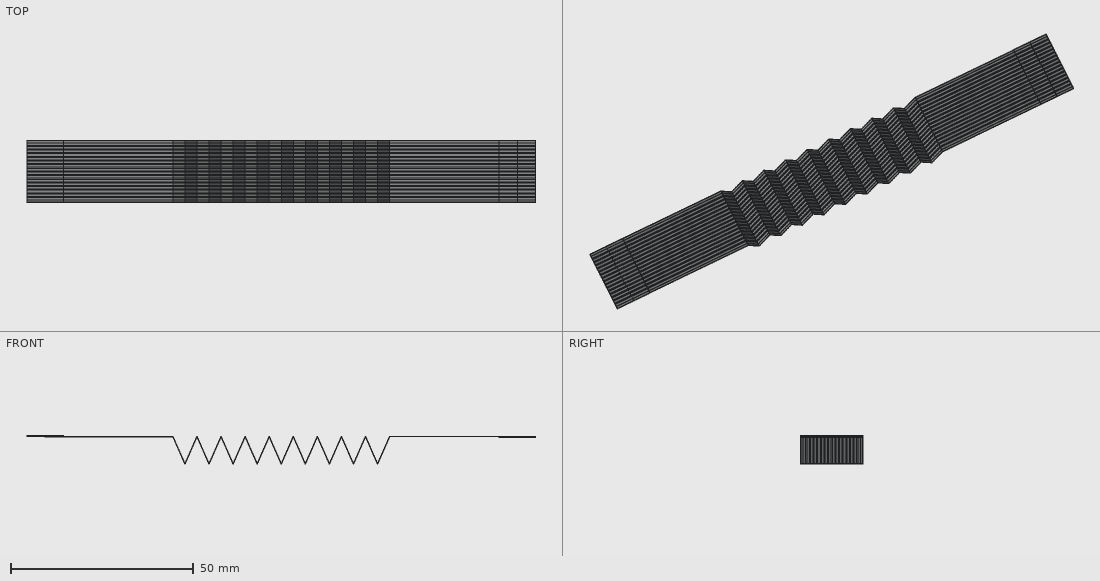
import cadquery as cq
import math


cable_length = 139.48
conductor_count = 16
conductor_pitch = 1.0
conductor_width = 0.7
conductor_thickness = 0.035
film_thickness = 0.035
cable_width = (conductor_count + 1) * conductor_pitch

contact_length = 5.0
stiffener_length = 10.0
contact_end_thickness = 0.3
stiffener_thickness = contact_end_thickness - conductor_thickness

fold_count = 9
fold_pitch = 6.6
fold_depth = 7.5

folds_start = (cable_length - fold_count * fold_pitch) / 2
folds_end = cable_length - folds_start
half_fold = fold_pitch / 2
slope_angle = math.atan2(fold_depth, half_fold)
upper_film_end = cable_length - contact_length


def folded_line(offset):
    """Corner points of the folds, moved outward by an offset square to the ribbon."""
    end_shift = offset * math.tan(slope_angle / 2)
    fold_rise = offset / math.cos(slope_angle)
    points = [(folds_start + end_shift, offset)]
    for fold in range(fold_count):
        valley_x = folds_start + fold * fold_pitch + half_fold
        points.append((valley_x, fold_rise - fold_depth))
        if fold < fold_count - 1:
            points.append((valley_x + half_fold, fold_rise))
    points.append((folds_end - end_shift, offset))
    return points


def extrude_across(outline, width, center_y):
    """Extrude an XZ outline along Y, centred on center_y."""
    plane = cq.Workplane("XZ", origin=(0, center_y + width / 2, 0))
    return plane.polyline(outline).close().extrude(width)


def full_width_plate(start_x, length, bottom_z, thickness):
    """Flat plate as wide as the cable."""
    plate = cq.Workplane("XY").box(length, cable_width, thickness, centered=(False, True, False))
    return plate.translate((start_x, 0, bottom_z))


def make_conductor(center_y):
    """One bare conductor running the whole length of the cable."""
    top_line = [(0, 0)] + folded_line(0) + [(cable_length, 0)]
    bottom_line = [(0, -conductor_thickness)]
    bottom_line += folded_line(-conductor_thickness)
    bottom_line.append((cable_length, -conductor_thickness))
    return extrude_across(top_line + bottom_line[::-1], conductor_width, center_y)


def make_upper_film():
    """Film on top of the conductors, from the first fold to the right-hand contacts."""
    top_line = [(folds_start, film_thickness)]
    top_line += folded_line(film_thickness)
    top_line.append((upper_film_end, film_thickness))
    bottom_line = folded_line(0) + [(upper_film_end, 0)]
    return extrude_across(top_line + bottom_line[::-1], cable_width, 0)


def make_lower_film():
    """Film under the conductors, from the left-hand contacts to the first fold."""
    return full_width_plate(
        contact_length,
        folds_start - contact_length,
        -conductor_thickness - film_thickness,
        film_thickness,
    )


def make_left_stiffener():
    """Stiffener on top of the left end, whose contacts face down."""
    return full_width_plate(0, stiffener_length, 0, stiffener_thickness)


def make_right_stiffener():
    """Stiffener under the right end, whose contacts face up."""
    return full_width_plate(
        cable_length - stiffener_length,
        stiffener_length,
        -conductor_thickness - stiffener_thickness,
        stiffener_thickness,
    )


result = make_upper_film()
for index in range(conductor_count):
    conductor_y = (index - (conductor_count - 1) / 2) * conductor_pitch
    result = result.union(make_conductor(conductor_y))
result = result.union(make_lower_film())
result = result.union(make_left_stiffener())
result = result.union(make_right_stiffener())